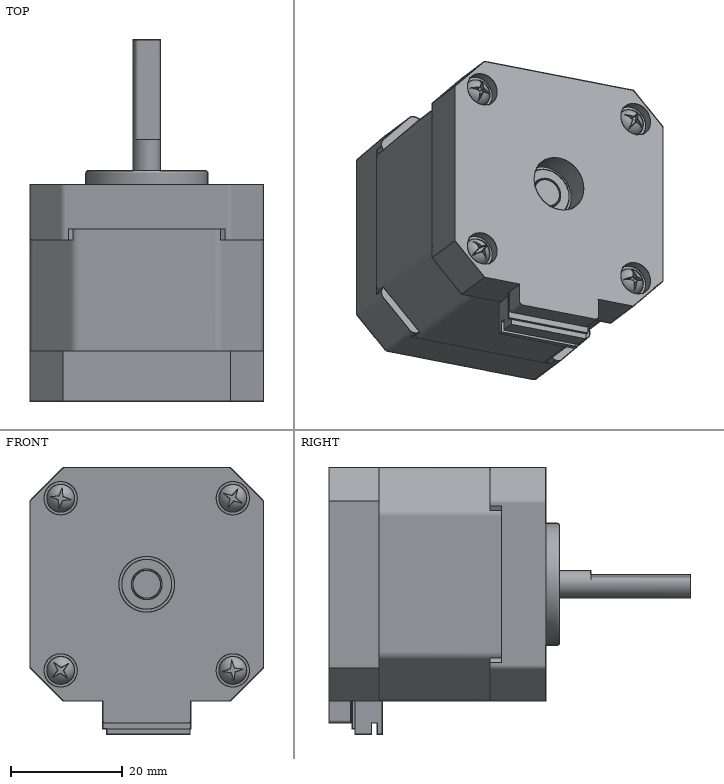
import cadquery as cq
import math


BODY_WIDTH = 42.0
HALF_WIDTH = BODY_WIDTH / 2
TOTAL_LENGTH = 65.0
OVERALL_HEIGHT = 48.0

COVER_FRONT = 9.05
LUG_REAR = 29.0
STATOR_FRONT = 31.0
FLANGE_FRONT = 39.0
BOSS_HEIGHT = 2.5

COVER_CHAMFER = 6.0
REAR_BORE_DIAMETER = 10.0
REAR_BORE_DEPTH = 5.0
REAR_RING_DIAMETER = 9.0
REAR_RING_HEIGHT = 0.25
SHAFT_CLEARANCE_DIAMETER = 5.5
TAB_WIDTH = 15.85
TAB_DEPTH = 3.95
TAB_HEIGHT = 3.95
TAB_CORNER_RADIUS = 0.5

STATOR_CHAMFER = 8.0
STATOR_EDGE_RADIUS = 1.8

FLANGE_CHAMFER = 6.0
FLANGE_EDGE_RADIUS = 1.1
BOSS_DIAMETER = 22.0
BOSS_EDGE_RADIUS = 0.5
WINDOW_WIDTH = 28.1
WINDOW_DEPTH = 1.0
WINDOW_SIDE_ANGLE = 22.5

SHAFT_DIAMETER = 5.0
FLAT_START = 47.05
FLAT_OFFSET = 1.5
FLAT_TILT = 10.0
FLAT_EDGE_RADIUS = 0.5

SCREW_SPACING = 30.95
SCREW_HEAD_DIAMETER = 5.0
SCREW_HEAD_HEIGHT = 1.8
SCREW_HEAD_TOP = 0.1
SCREW_BORE_DIAMETER = 6.0
SHANK_DIAMETER = 3.0
SHANK_TIP = 35.1
STAR_TIP_RADIUS = 1.9
STAR_WAIST_RADIUS = 0.5
STAR_DEPTH = 1.2
SCREW_OFFSET = SCREW_SPACING / 2
SCREWS = [
    (-SCREW_OFFSET, SCREW_OFFSET, -8),
    (SCREW_OFFSET, SCREW_OFFSET, -28),
    (-SCREW_OFFSET, -SCREW_OFFSET, 41),
    (SCREW_OFFSET, -SCREW_OFFSET, 7),
]

CONNECTOR_LEFT = -7.2
CONNECTOR_RIGHT = 7.8
CONNECTOR_REAR = 4.7
CONNECTOR_FRONT = 9.6
GROOVE_REAR = 7.7
GROOVE_FRONT = 8.65
GROOVE_HEIGHT = 2.0
PLATE_REAR = 4.15
PLATE_HEIGHT = 5.0

HEAD_SEAT = SCREW_HEAD_TOP + SCREW_HEAD_HEIGHT
CONNECTOR_HEIGHT = OVERALL_HEIGHT - BODY_WIDTH


def box(x_range, y_range, z_range):
    """Axis-aligned box between the given limits."""
    size = [end - start for start, end in (x_range, y_range, z_range)]
    corner = (x_range[0], y_range[0], z_range[0])
    return cq.Workplane("XY").box(*size, centered=False).translate(corner)


def plane_at(y, x=0, z=0):
    """XZ plane at station y whose extrusions grow toward +Y; local Y is -Z."""
    return cq.Workplane(cq.Plane(origin=(x, y, z), xDir=(1, 0, 0), normal=(0, 1, 0)))


def cylinder(diameter, start, end, x=0, z=0):
    """Cylinder along Y between two stations."""
    return plane_at(start, x, z).circle(diameter / 2).extrude(end - start)


def octagon(start, end, chamfer, edge_radius=0):
    """Square prism along Y with chamfered corners and optionally rounded chamfer edges."""
    prism = plane_at(start).rect(BODY_WIDTH, BODY_WIDTH).extrude(end - start)
    prism = prism.edges("|Y").chamfer(chamfer)
    if edge_radius:
        prism = prism.edges("|Y").fillet(edge_radius)
    return prism


def drill_shanks(body, start, end):
    """Cut the four screw shank holes between two stations."""
    for x, z, _ in SCREWS:
        body = body.cut(cylinder(SHANK_DIAMETER, start, end, x, z))
    return body


def make_stator():
    stator = octagon(COVER_FRONT, STATOR_FRONT, STATOR_CHAMFER, STATOR_EDGE_RADIUS)
    stator = stator.cut(cylinder(SHAFT_DIAMETER, COVER_FRONT, STATOR_FRONT))
    return drill_shanks(stator, COVER_FRONT, STATOR_FRONT)


def make_flange():
    flange = octagon(LUG_REAR, FLANGE_FRONT, FLANGE_CHAMFER, FLANGE_EDGE_RADIUS)

    recess = octagon(LUG_REAR, STATOR_FRONT, STATOR_CHAMFER, STATOR_EDGE_RADIUS)
    flange = flange.cut(recess)

    top_half = WINDOW_WIDTH / 2
    floor_half = top_half - WINDOW_DEPTH / math.tan(math.radians(WINDOW_SIDE_ANGLE))
    floor = HALF_WIDTH - WINDOW_DEPTH
    window = (
        plane_at(LUG_REAR)
        .polyline([(-top_half, HALF_WIDTH), (top_half, HALF_WIDTH), (floor_half, floor), (-floor_half, floor)])
        .close()
        .extrude(STATOR_FRONT - LUG_REAR)
    )
    for quarter in range(4):
        flange = flange.cut(window.rotate((0, 0, 0), (0, 1, 0), 90 * quarter))

    boss_front = FLANGE_FRONT + BOSS_HEIGHT
    boss = cylinder(BOSS_DIAMETER, FLANGE_FRONT, boss_front).faces(">Y").edges().fillet(BOSS_EDGE_RADIUS)
    flange = flange.union(boss)
    flange = flange.cut(cylinder(SHAFT_DIAMETER, LUG_REAR, boss_front))
    return drill_shanks(flange, LUG_REAR, SHANK_TIP)


def make_cover():
    cover = octagon(0, COVER_FRONT, COVER_CHAMFER)

    tab = box((-TAB_WIDTH / 2, TAB_WIDTH / 2), (0, TAB_DEPTH), (-HALF_WIDTH - TAB_HEIGHT, 0))
    cover = cover.union(tab.edges("|Y and <Z").fillet(TAB_CORNER_RADIUS))

    cover = cover.cut(cylinder(REAR_BORE_DIAMETER, 0, REAR_BORE_DEPTH))
    cover = cover.union(cylinder(REAR_RING_DIAMETER, REAR_BORE_DEPTH - REAR_RING_HEIGHT, COVER_FRONT))
    cover = cover.cut(cylinder(SHAFT_CLEARANCE_DIAMETER, 0, COVER_FRONT))

    for x, z, _ in SCREWS:
        cover = cover.cut(cylinder(SCREW_BORE_DIAMETER, 0, HEAD_SEAT, x, z))
    return drill_shanks(cover, HEAD_SEAT, COVER_FRONT)


def make_shaft():
    start = REAR_BORE_DEPTH - REAR_RING_HEIGHT
    radius = SHAFT_DIAMETER / 2
    shaft = cylinder(SHAFT_DIAMETER, start, TOTAL_LENGTH)
    beyond_flat = box((-radius, radius), (FLAT_START, TOTAL_LENGTH), (FLAT_OFFSET, radius))
    shaft = shaft.cut(beyond_flat)
    half_chord = math.sqrt(radius**2 - FLAT_OFFSET**2)
    middle = (FLAT_START + TOTAL_LENGTH) / 2
    for side in (-1, 1):
        edge = cq.selectors.NearestToPointSelector((side * half_chord, middle, FLAT_OFFSET))
        shaft = shaft.edges(edge).fillet(FLAT_EDGE_RADIUS)
    return shaft.rotate((0, 0, 0), (0, 1, 0), FLAT_TILT)


def make_screw(x, z, turn):
    """Domed screw with a four-pointed star recess, its head facing -Y."""
    head_radius = SCREW_HEAD_DIAMETER / 2
    shank_radius = SHANK_DIAMETER / 2
    dome_radius = (head_radius**2 + SCREW_HEAD_HEIGHT**2) / (2 * SCREW_HEAD_HEIGHT)
    half_angle = math.asin(head_radius / dome_radius) / 2
    dome_middle = (
        dome_radius * math.sin(half_angle),
        SCREW_HEAD_TOP + dome_radius * (1 - math.cos(half_angle)),
    )
    screw = (
        cq.Workplane("XY")
        .moveTo(0, SCREW_HEAD_TOP)
        .threePointArc(dome_middle, (head_radius, HEAD_SEAT))
        .lineTo(shank_radius, HEAD_SEAT)
        .lineTo(shank_radius, SHANK_TIP)
        .lineTo(0, SHANK_TIP)
        .close()
        .revolve(360, (0, 0, 0), (0, 1, 0))
    )

    star_points = []
    for arm in range(4):
        for radius, angle in ((STAR_TIP_RADIUS, 90 * arm), (STAR_WAIST_RADIUS, 90 * arm + 45)):
            turned = math.radians(angle)
            star_points.append((radius * math.cos(turned), radius * math.sin(turned)))
    star = plane_at(SCREW_HEAD_TOP).polyline(star_points).close().extrude(STAR_DEPTH)
    screw = screw.cut(star)
    return screw.rotate((0, 0, 0), (0, 1, 0), -turn).translate((x, 0, z))


def make_connector():
    """Grooved block with a thin plate on its rear side, fixed under the cover."""
    width = (CONNECTOR_LEFT, CONNECTOR_RIGHT)
    bottom = -HALF_WIDTH - CONNECTOR_HEIGHT
    block = box(width, (CONNECTOR_REAR, CONNECTOR_FRONT), (bottom, -HALF_WIDTH))
    groove = box(width, (GROOVE_REAR, GROOVE_FRONT), (bottom, bottom + GROOVE_HEIGHT))
    plate = box(
        (-TAB_WIDTH / 2, TAB_WIDTH / 2),
        (PLATE_REAR, CONNECTOR_REAR),
        (-HALF_WIDTH - PLATE_HEIGHT, -HALF_WIDTH),
    )
    return block.cut(groove).union(plate)


stator = make_stator()
flange = make_flange()
cover = make_cover()
shaft = make_shaft()
connector = make_connector()
screws = [make_screw(x, z, turn).val() for x, z, turn in SCREWS]

result = cq.Compound.makeCompound(
    [stator.val(), flange.val(), cover.val(), shaft.val(), connector.val(), *screws]
)